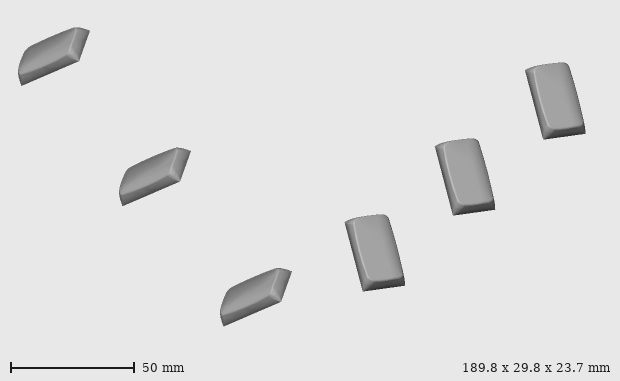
import cadquery as cq
import math

row_length = 189.8
key_count = 3

base_width = 18.0
base_length = 31.5
key_height = 5.7

slope_angle = math.radians(40)
heading_angle = math.radians(45)

wall_radius = 9.0
wall_section_count = 4
top_bow = 0.83
base_corner_radius = 0.1
top_corner_radius = 3.2

roll_start = 3.0
roll_radius = 11.4
roll_angle = math.radians(50)
top_edge_fillet = 1.0


def wall_inset(height):
    """How far the wall has moved inward at a height above the base."""
    return wall_radius - math.sqrt(wall_radius**2 - height**2)


def corner_radius(height):
    """Corner radius: almost sharp at the base, growing fast just above it."""
    growth = math.sqrt(height / key_height)
    return base_corner_radius + (top_corner_radius - base_corner_radius) * growth


def wall_section(height):
    """Outline of the walls at a height: a rectangle with bowed sides and rounded corners."""
    bow = top_bow * height / key_height
    half_width = base_width / 2 - wall_inset(height)
    half_length = base_length / 2 - wall_inset(height)
    corners = [
        (-half_width, -half_length),
        (half_width, -half_length),
        (half_width, half_length),
        (-half_width, half_length),
    ]
    middles = [
        (0, -half_length - bow),
        (half_width + bow, 0),
        (0, half_length + bow),
        (-half_width - bow, 0),
    ]
    outline = cq.Workplane("XY", origin=(0, 0, height)).moveTo(*corners[0])
    for i, middle in enumerate(middles):
        end = corners[(i + 1) % len(corners)]
        outline = outline.threePointArc(middle, end) if bow else outline.lineTo(*end)
    wire = outline.close().val()
    return wire.fillet2D(corner_radius(height), wire.Vertices())


def walled_block():
    """Block with bent walls, cut square at the full key height."""
    last = wall_section_count - 1
    sections = [wall_section(key_height * i / last) for i in range(wall_section_count)]
    return cq.Workplane(cq.Solid.makeLoft(sections))


def roll_point(angle):
    """Point of the rolled part of the top face, in width and height."""
    across = roll_start + roll_radius * math.sin(angle)
    up = key_height - roll_radius * (1 - math.cos(angle))
    return across, up


def top_envelope():
    """Prism along the key that carries the flat and the roll of the top face."""
    roll_end = roll_point(roll_angle)
    return (
        cq.Workplane("XZ")
        .moveTo(-base_width, 0)
        .lineTo(-base_width, key_height)
        .lineTo(roll_start, key_height)
        .threePointArc(roll_point(roll_angle / 2), roll_end)
        .lineTo(roll_end[0], 0)
        .close()
        .extrude(base_length, both=True)
    )


def make_key():
    """One solid key, tilted onto its slope."""
    flat_key = walled_block().intersect(top_envelope())
    flat_key = flat_key.faces(">Z").edges().fillet(top_edge_fillet)
    slope = cq.Plane(
        origin=(0, 0, 0),
        xDir=(math.sin(heading_angle), -math.cos(heading_angle), 0),
        normal=(
            -math.sin(slope_angle) * math.cos(heading_angle),
            -math.sin(slope_angle) * math.sin(heading_angle),
            math.cos(slope_angle),
        ),
    )
    return flat_key.val().Solids()[0].moved(slope.location)


key = make_key()
key_pitch = (row_length - key.BoundingBox().xlen) / (key_count - 1)
keys = [key.moved(cq.Location(cq.Vector(i * key_pitch, 0, 0))) for i in range(key_count)]

result = cq.Compound.makeCompound(keys)